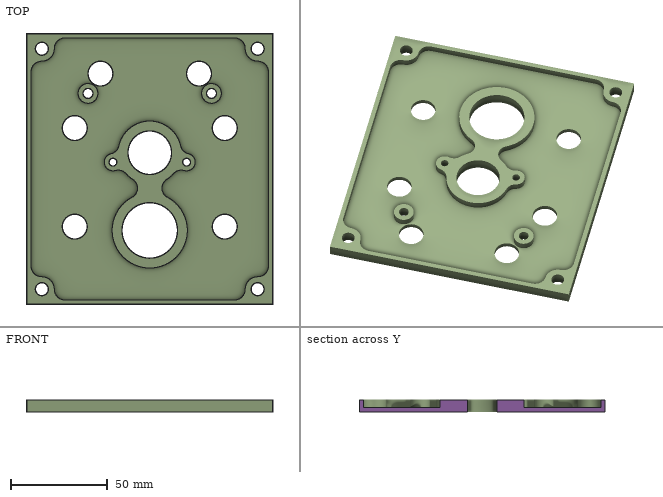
import cadquery as cq
import math

width = 127.0
length = 139.7
thickness = 6.3
floor_thickness = 2.5
recess_depth = thickness - floor_thickness
rim_width = 2.2

corner_inset = 7.8
corner_hole_diameter = 6.5
corner_pad_radius = 6.4
recess_corner_radius = corner_inset - rim_width

floor_hole_diameter = 12.7
floor_hole_places = [(25.4, 49.2), (38.7, 21.1), (38.7, -29.8)]

boss_x = 31.9
boss_y = 39.0
boss_diameter = 10.2
boss_hole_diameter = 5.0

ring_wall = 5.2
upper_ring_y = 8.4
upper_bore_diameter = 22.4
upper_ring_radius = upper_bore_diameter / 2 + ring_wall
lower_ring_y = -31.7
lower_bore_diameter = 28.5
lower_ring_radius = lower_bore_diameter / 2 + ring_wall
lug_x = 19.0
lug_y = 3.5
lug_radius = 4.5
lug_hole_diameter = 3.9
ring_fillet = 5.3


def both_sides(places):
    """Repeat places on the -X side."""
    return [(side * x, y) for x, y in places for side in (-1, 1)]


def raised(places, radius):
    """Round pads standing on the floor up to the top face."""
    floor = cq.Workplane("XY").workplane(offset=floor_thickness)
    return floor.pushPoints(places).circle(radius).extrude(recess_depth)


def drill(body, places, diameter):
    """Cut through holes at the given places."""
    cutter = cq.Workplane("XY").pushPoints(places).circle(diameter / 2).extrude(thickness)
    return body.cut(cutter)


def toward(start, end, distance):
    """Point at a distance from start, on the line to end."""
    span = math.dist(start, end)
    return tuple(a + (b - a) * distance / span for a, b in zip(start, end))


def fillet_center(first, first_radius, second, second_radius):
    """Center of the ring fillet touching two circles, to the left of the line from first to second."""
    span = math.dist(first, second)
    first_reach = first_radius + ring_fillet
    second_reach = second_radius + ring_fillet
    along = (first_reach**2 - second_reach**2 + span**2) / (2 * span)
    across = math.sqrt(first_reach**2 - along**2)
    ux = (second[0] - first[0]) / span
    uy = (second[1] - first[1]) / span
    return (first[0] + along * ux - across * uy, first[1] + along * uy + across * ux)


def fillet_web(first, first_radius, second, second_radius):
    """Web filling the notch to the left of the line between two circles."""
    center = fillet_center(first, first_radius, second, second_radius)
    first_touch = toward(first, center, first_radius)
    second_touch = toward(second, center, second_radius)
    middle = tuple((a + b) / 2 for a, b in zip(first_touch, second_touch))
    return (
        cq.Workplane("XY").workplane(offset=floor_thickness)
        .moveTo(*first)
        .lineTo(*first_touch)
        .threePointArc(toward(center, middle, ring_fillet), second_touch)
        .lineTo(*second)
        .close()
        .extrude(recess_depth)
    )


def recess():
    """Floor recess that curves inward around each corner hole."""
    edge_x = width / 2 - rim_width
    edge_y = length / 2 - rim_width
    hole_x = width / 2 - corner_inset
    hole_y = length / 2 - corner_inset
    curve_offset = corner_pad_radius + recess_corner_radius
    pad_x = hole_x - corner_pad_radius
    pad_y = hole_y - corner_pad_radius
    diagonal = math.sqrt(0.5)
    curve_mid = recess_corner_radius * diagonal
    pad_mid = corner_pad_radius * diagonal
    curve_x = hole_x - curve_offset
    curve_y = hole_y - curve_offset
    quarter = (
        cq.Workplane("XY").workplane(offset=floor_thickness)
        .lineTo(edge_x, 0)
        .lineTo(edge_x, curve_y)
        .threePointArc((hole_x + curve_mid, curve_y + curve_mid), (hole_x, pad_y))
        .threePointArc((hole_x - pad_mid, hole_y - pad_mid), (pad_x, hole_y))
        .threePointArc((curve_x + curve_mid, hole_y + curve_mid), (curve_x, edge_y))
        .lineTo(0, edge_y)
        .close()
        .extrude(recess_depth)
    )
    half = quarter.union(quarter.mirror("YZ"))
    return half.union(half.mirror("XZ"))


def double_ring():
    """Two joined rings with a lug on each side of the upper one."""
    upper = (0, upper_ring_y)
    lower = (0, lower_ring_y)
    lug = (lug_x, lug_y)
    webs = fillet_web(upper, upper_ring_radius, lug, lug_radius)
    webs = webs.union(fillet_web(lug, lug_radius, upper, upper_ring_radius))
    webs = webs.union(fillet_web(upper, upper_ring_radius, lower, lower_ring_radius).mirror("YZ"))
    body = raised([upper], upper_ring_radius).union(raised([lower], lower_ring_radius))
    body = body.union(raised(both_sides([lug]), lug_radius))
    return body.union(webs).union(webs.mirror("YZ"))


boss_places = both_sides([(boss_x, boss_y)])
corner_x = width / 2 - corner_inset
corner_y = length / 2 - corner_inset
corner_places = both_sides([(corner_x, corner_y), (corner_x, -corner_y)])

result = cq.Workplane("XY").box(width, length, thickness, centered=(True, True, False))
result = result.cut(recess())
result = result.union(raised(boss_places, boss_diameter / 2))
result = result.union(double_ring())

result = drill(result, corner_places, corner_hole_diameter)
result = drill(result, both_sides(floor_hole_places), floor_hole_diameter)
result = drill(result, boss_places, boss_hole_diameter)
result = drill(result, both_sides([(lug_x, lug_y)]), lug_hole_diameter)
result = drill(result, [(0, upper_ring_y)], upper_bore_diameter)
result = drill(result, [(0, lower_ring_y)], lower_bore_diameter)